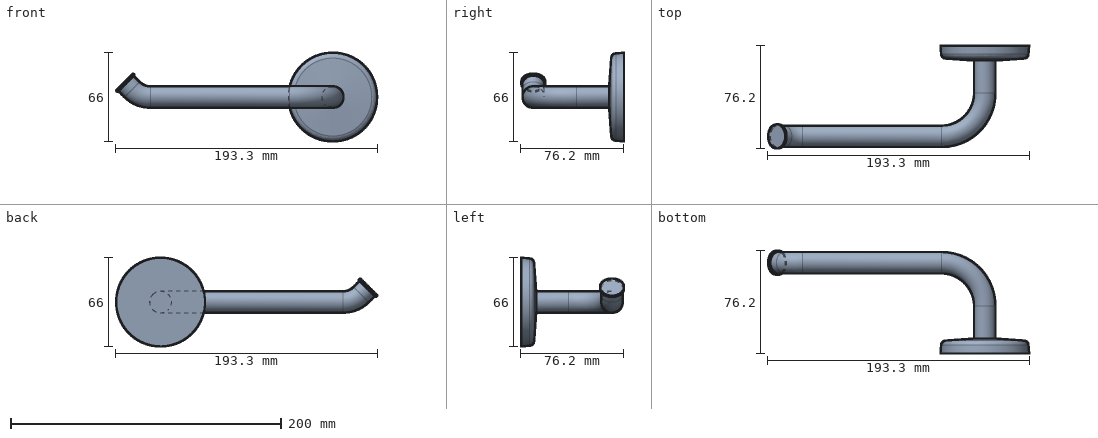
import cadquery as cq
import math

overall_length = 193.3
overall_depth = 76.2

plate_diameter = 66.0
plate_height = 11.8
edge_height = 9.5
rim_draft_angle = 5.0
shoulder_radius = 3.9

cap_diameter = 18.0
cap_thickness = 1.5

bar_diameter = 16.0
corner_bend_radius = 32.0
tip_bend_radius = 19.0
tip_angle = 45.0
tip_length = 8.0

plate_radius = plate_diameter / 2
cap_radius = cap_diameter / 2
bar_reach = overall_depth - cap_radius
tip_sin = math.sin(math.radians(tip_angle))
tip_cos = math.cos(math.radians(tip_angle))
tip_reach = tip_bend_radius * tip_sin + tip_length * tip_cos + cap_radius * tip_sin
arm_end_x = plate_radius - overall_length + tip_reach


def tip_bend_point(angle):
    """Point on the bar axis after turning upward by the angle, in degrees."""
    turn = math.radians(angle)
    x = arm_end_x - tip_bend_radius * math.sin(turn)
    z = tip_bend_radius * (1 - math.cos(turn))
    return cq.Vector(x, -bar_reach, z)


def make_plate():
    """Revolve the plate's half section about the Y axis and round its shoulder."""
    edge_radius = plate_radius - edge_height * math.tan(math.radians(rim_draft_angle))
    plate = (
        cq.Workplane("XY")
        .lineTo(plate_radius, 0)
        .lineTo(edge_radius, -edge_height)
        .lineTo(0, -plate_height)
        .close()
        .revolve(360, (0, 0, 0), (0, 1, 0))
    )
    shoulder_edge = plate.edges(cq.selectors.RadiusNthSelector(0))
    return shoulder_edge.fillet(shoulder_radius)


def make_bar():
    """Sweep the round bar from the plate's back, around the corner and up the tip."""
    stem_end = cq.Vector(0, corner_bend_radius - bar_reach, 0)
    corner_end = cq.Vector(-corner_bend_radius, -bar_reach, 0)
    arm_end = tip_bend_point(0)
    tip_start = tip_bend_point(tip_angle)
    tip_end = tip_start + cq.Vector(-tip_cos, 0, tip_sin) * tip_length
    path = cq.Wire.assembleEdges([
        cq.Edge.makeLine(cq.Vector(0, 0, 0), stem_end),
        cq.Edge.makeTangentArc(stem_end, cq.Vector(0, -1, 0), corner_end),
        cq.Edge.makeLine(corner_end, arm_end),
        cq.Edge.makeTangentArc(arm_end, cq.Vector(-1, 0, 0), tip_start),
        cq.Edge.makeLine(tip_start, tip_end),
    ])
    return cq.Workplane("XZ").circle(bar_diameter / 2).sweep(path)


def make_cap():
    """Thin disc that finishes the free end of the bar."""
    direction = cq.Vector(-tip_cos, 0, tip_sin)
    base = tip_bend_point(tip_angle) + direction * (tip_length - cap_thickness)
    return cq.Workplane(obj=cq.Solid.makeCylinder(cap_radius, cap_thickness, base, direction))


result = make_plate().union(make_bar()).union(make_cap())